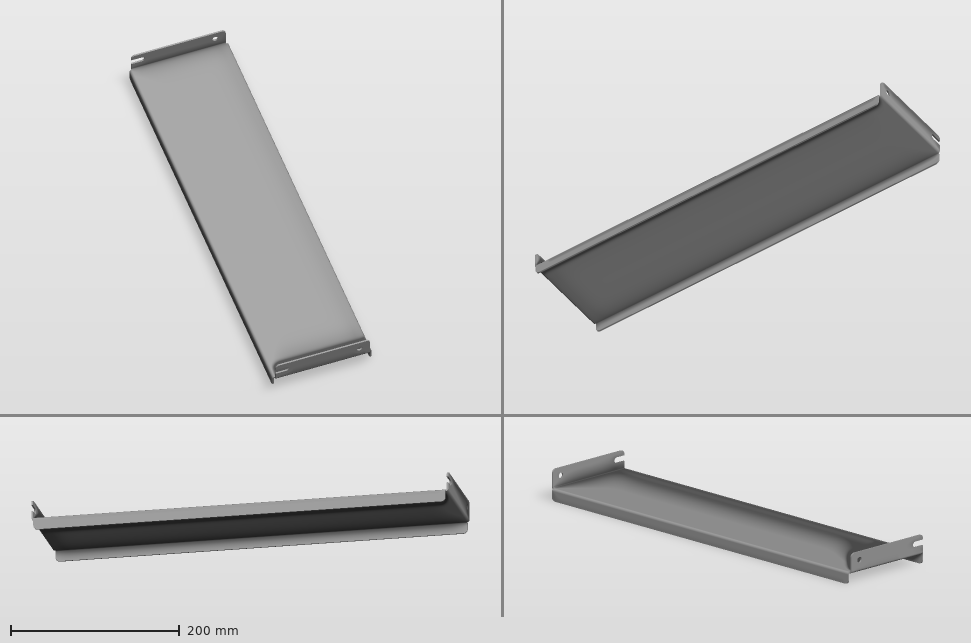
import cadquery as cq

length = 506.0
width = 125.0
height = 38.0

thickness = 2.0
inner_bend = 1.0
outer_bend = inner_bend + thickness
plate_bottom = 13.0
plate_top = plate_bottom + thickness
corner_radius = 5.0

flat_length = length - 2 * outer_bend
flat_width = width - 2 * outer_bend

fastener_diameter = 7.0
fastener_z = height - 10.0
hole_inset = 13.0
slot_depth = 16.5


def channel_profile(plane, span, outer_level, inner_level, tip_level):
    """Bent sheet section: a flat web with a flange curving away at each end."""
    direction = 1 if tip_level > outer_level else -1
    half = span / 2
    bend_end = outer_level + direction * outer_bend
    outside = (
        cq.Workplane(plane)
        .moveTo(-half, tip_level)
        .lineTo(-half, bend_end)
        .radiusArc((-half + outer_bend, outer_level), direction * -outer_bend)
        .lineTo(half - outer_bend, outer_level)
        .radiusArc((half, bend_end), direction * -outer_bend)
        .lineTo(half, tip_level)
    )
    return (
        outside
        .lineTo(half - thickness, tip_level)
        .lineTo(half - thickness, bend_end)
        .radiusArc((half - outer_bend, inner_level), direction * inner_bend)
        .lineTo(-half + outer_bend, inner_level)
        .radiusArc((-half + thickness, bend_end), direction * inner_bend)
        .lineTo(-half + thickness, tip_level)
        .close()
    )


def end_flanges():
    """Plate with upright flanges at both X ends, top corners rounded."""
    tray = channel_profile("XZ", length, plate_bottom, plate_top, height)
    tray = tray.extrude(flat_width / 2, both=True)
    return tray.edges("|X").edges(">Z").fillet(corner_radius)


def side_flanges():
    """Plate with downward flanges along both Y sides, bottom corners rounded."""
    tray = channel_profile("YZ", width, plate_top, plate_bottom, 0)
    tray = tray.extrude(flat_length / 2, both=True)
    return tray.edges("|Y").edges("<Z").fillet(corner_radius)


def mounting_cuts():
    """Round hole near +Y and round-ended slot open to -Y, through both end flanges."""
    hole_y = flat_width / 2 - hole_inset
    slot_end_y = -flat_width / 2 + slot_depth
    slot_round_y = slot_end_y - fastener_diameter / 2
    slot_mouth_y = -width / 2
    hole = cq.Workplane("YZ").center(hole_y, fastener_z).circle(fastener_diameter / 2)
    slot_round = cq.Workplane("YZ").center(slot_round_y, fastener_z).circle(fastener_diameter / 2)
    slot_throat = (
        cq.Workplane("YZ")
        .center((slot_round_y + slot_mouth_y) / 2, fastener_z)
        .rect(slot_round_y - slot_mouth_y, fastener_diameter)
    )
    cuts = hole.extrude(length, both=True)
    for sketch in (slot_round, slot_throat):
        cuts = cuts.union(sketch.extrude(length, both=True))
    return cuts


result = end_flanges().union(side_flanges()).cut(mounting_cuts())